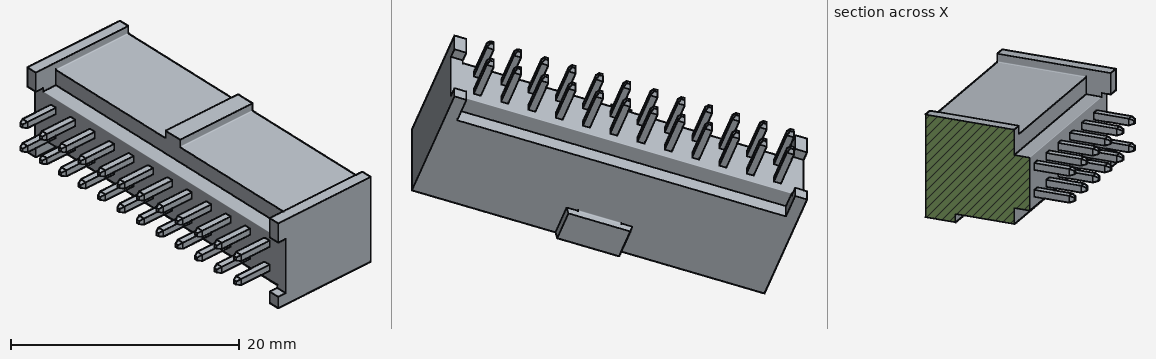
import cadquery as cq


length = 32.82
height = 8.95
cover_drop = 0.8
cover_top = height - cover_drop
cover_depth = 8.53
core_depth = 10.0
top_ledge = 1.6
bottom_ledge = 1.5
mid_z = cover_top / 2
edge_radius = 0.1
core_edge_radius = 0.05

plate_width = 1.1
plate_depth = 10.9
top_foot_height = 2.05
bottom_foot_height = 1.2
inner_length = length - 2 * plate_width

rib_width = 1.9

tab_height = 0.8
tab_depth = 2.9
tab_root_width = 6.1
tab_tip_width = 5.78
tab_fillet_width = 4.0

columns = 12
rows = 2
outer_pin_spacing = 27.93
pitch = outer_pin_spacing / (columns - 1)
pin_size = 0.65
pin_reach = 13.8
tip_length = 0.43
tip_size = 0.33


def front_block(width, depth, bottom, top):
    """Block centred on X, running from the back toward -Y."""
    block = cq.Workplane("XY").box(width, depth, top - bottom, centered=(True, False, False))
    return block.translate((0, -depth, bottom))


def root_fillet(face_x, side):
    """Concave fillet along Y between the cover and an upright face; side is the sign of its free side."""
    return (
        cq.Workplane("XZ")
        .moveTo(face_x, cover_top)
        .lineTo(face_x + side * edge_radius, cover_top)
        .radiusArc((face_x, cover_top + edge_radius), side * edge_radius)
        .close()
        .extrude(cover_depth)
    )


def make_core():
    core = front_block(inner_length, core_depth, bottom_ledge, cover_top - top_ledge)
    return core.faces("<Y").edges("|X").fillet(core_edge_radius)


def make_end_plates():
    """Side plates whose front edge is notched between an upper and a lower foot."""
    profile = (
        cq.Workplane("YZ")
        .polyline([
            (0, 0),
            (-plate_depth, 0),
            (-plate_depth, bottom_foot_height),
            (-core_depth, bottom_foot_height),
            (-core_depth, height - top_foot_height),
            (-plate_depth, height - top_foot_height),
            (-plate_depth, height),
            (0, height),
        ])
        .close()
        .extrude(plate_width)
    )
    left = profile.translate((-length / 2, 0, 0))
    return left.union(left.mirror("YZ"))


def make_tab():
    tab = (
        cq.Workplane("XZ")
        .polyline([
            (-tab_root_width / 2, 0),
            (tab_root_width / 2, 0),
            (tab_tip_width / 2, -tab_height),
            (-tab_tip_width / 2, -tab_height),
        ])
        .close()
        .extrude(tab_depth)
    )
    fillet = (
        cq.Workplane("YZ")
        .moveTo(-tab_depth, 0)
        .lineTo(-tab_depth - edge_radius, 0)
        .radiusArc((-tab_depth, -edge_radius), edge_radius)
        .close()
        .extrude(tab_fillet_width / 2, both=True)
    )
    return tab.union(fillet)


def make_pin(x, z):
    """Square pin that starts inside the core and ends in a pyramid-shaped tip."""
    shank_length = pin_reach - tip_length - cover_depth
    shank = cq.Workplane("XZ").rect(pin_size, pin_size).extrude(shank_length)
    tip = (
        cq.Workplane("XZ", origin=(0, -shank_length, 0))
        .rect(pin_size, pin_size)
        .workplane(offset=tip_length)
        .rect(tip_size, tip_size)
        .loft()
    )
    return shank.union(tip).translate((x, -cover_depth, z))


cover = front_block(inner_length, cover_depth, 0, cover_top)
rib = front_block(rib_width, cover_depth, cover_top, height)
result = cover.union(make_core()).union(rib).union(make_end_plates()).union(make_tab())

for side in (-1, 1):
    result = result.union(root_fillet(side * rib_width / 2, side))
    result = result.union(root_fillet(side * inner_length / 2, -side))

for column in range(columns):
    for row in range(rows):
        pin_x = (column - (columns - 1) / 2) * pitch
        pin_z = mid_z + (row - (rows - 1) / 2) * pitch
        result = result.union(make_pin(pin_x, pin_z))